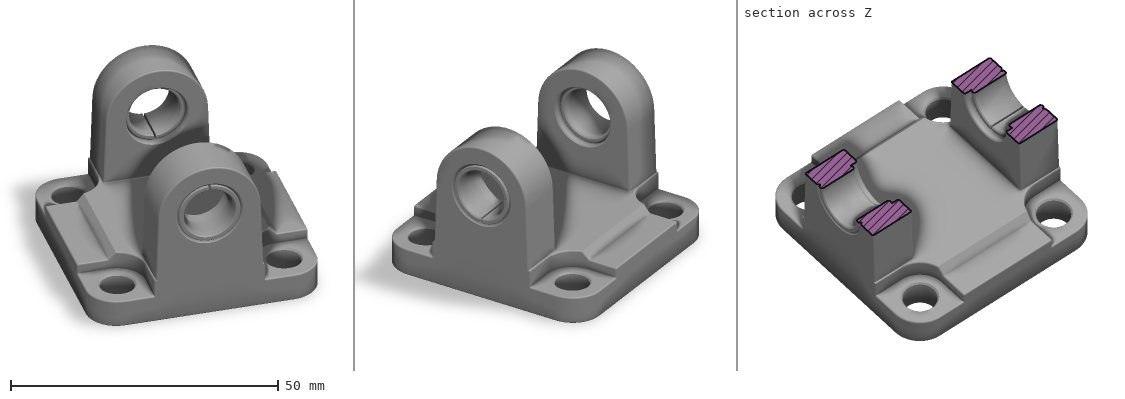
import cadquery as cq
import math

SIDE = 45.0
PLATE_TOP = 9.0
CORNER_RADIUS = 6.0
EDGE_ROUND = 0.3

LAND_TOP = 7.5
SLOPE_START = 15.0

POCKET_FLOOR = 5.5
POCKET_RADIUS = 5.5
HOLE_OFFSET = 16.25
HOLE_DIAMETER = 6.6
HOLE_CHAMFER = 0.3

LUG_THICKNESS = 9.5
LUG_RADIUS = 10.0
LUG_DRAFT = math.radians(2)
PIVOT_HEIGHT = 22.0
FOOT_FILLET = 0.25

BUSHING_OUTER = 12.0
BUSHING_BORE = 10.0
BUSHING_CHAMFER = 0.15
BORE_CHAMFER = 0.22
INSIDE_RECESS = 1.5
INSIDE_MOUTH_CHAMFER = 0.22
OUTSIDE_MOUTH_CHAMFER = 0.5
SLIT_WIDTH = 0.4

HALF = SIDE / 2
LUG_INNER = HALF - LUG_THICKNESS
POCKET_WALL = HOLE_OFFSET - POCKET_RADIUS
SIGNS = (-1, 1)
CORNERS = [(x_side, y_side) for x_side in SIGNS for y_side in SIGNS]

TOLERANCE = 0.005
SLOPE_RIM_SPREAD = 0.1


def land_cut(y_side):
    """Material above one land, with its sloped inner side."""
    rise = PLATE_TOP - LAND_TOP
    outline = [
        (y_side * SLOPE_START, PLATE_TOP),
        (y_side * (SLOPE_START + rise), LAND_TOP),
        (y_side * SIDE, LAND_TOP),
        (y_side * SIDE, PLATE_TOP),
    ]
    return cq.Workplane("YZ").polyline(outline).close().extrude(HALF, both=True)


def pocket_cut(x_side, y_side):
    """Square corner pocket whose inner corner is rounded about the mounting hole."""
    size = 2 * (HALF - POCKET_WALL)
    return (
        cq.Workplane("XY", origin=(x_side * HALF, y_side * HALF, POCKET_FLOOR))
        .rect(size, size)
        .extrude(PLATE_TOP)
        .edges("|Z")
        .fillet(POCKET_RADIUS)
    )


def mounting_hole(x_side, y_side):
    """Through hole with a chamfered mouth on the pocket floor."""
    radius = HOLE_DIAMETER / 2
    outline = [
        (0, 0),
        (radius, 0),
        (radius, POCKET_FLOOR - HOLE_CHAMFER),
        (radius + HOLE_CHAMFER, POCKET_FLOOR),
        (0, POCKET_FLOOR),
    ]
    hole = cq.Workplane("XZ").polyline(outline).close().revolve(360, (0, 0), (0, 1))
    return hole.translate((x_side * HOLE_OFFSET, y_side * HOLE_OFFSET, 0))


def is_outer_rim(edge):
    """Upper rim of the plate, except where the lugs stand flush with the +X and -X sides."""
    center = edge.Center()
    box = edge.BoundingBox()
    x, y = abs(center.x), abs(center.y)
    above_floor = box.zmin > POCKET_FLOOR - TOLERANCE
    on_floor = above_floor and box.zmax < POCKET_FLOOR + TOLERANCE
    on_y_side = above_floor and y > HALF - TOLERANCE
    on_x_side = on_floor and x > HALF - TOLERANCE
    on_corner = on_floor and min(x, y) > HALF - CORNER_RADIUS
    return on_y_side or on_x_side or on_corner


def is_pocket_rim(edge):
    """Edges where the pocket walls meet the lands, the slopes and the plate top."""
    center = edge.Center()
    x, y = abs(center.x), abs(center.y)
    above_land = edge.BoundingBox().zmin > LAND_TOP - TOLERANCE
    beside_land = abs(x - POCKET_WALL) < SLOPE_RIM_SPREAD and y > SLOPE_START
    beside_lug = abs(y - POCKET_WALL) < TOLERANCE
    around_hole = edge.geomType() == "CIRCLE"
    return above_land and (beside_land or beside_lug or around_hole)


def make_plate():
    """Plate with lands, corner pockets, rounded edges and mounting holes."""
    plate = cq.Workplane("XY").rect(SIDE, SIDE).extrude(PLATE_TOP)
    plate = plate.edges("|Z").fillet(CORNER_RADIUS)
    plate = plate.faces("<Z").edges().fillet(EDGE_ROUND)
    for y_side in SIGNS:
        plate = plate.cut(land_cut(y_side))
    for x_side, y_side in CORNERS:
        plate = plate.cut(pocket_cut(x_side, y_side))
    rims = plate.edges().filter(lambda edge: is_outer_rim(edge) or is_pocket_rim(edge))
    plate = rims.fillet(EDGE_ROUND)
    for x_side, y_side in CORNERS:
        plate = plate.cut(mounting_hole(x_side, y_side))
    return plate


def lug_body():
    """Round-topped lug at the +X side, standing on the plate top."""
    tangent_y = LUG_RADIUS * math.cos(LUG_DRAFT)
    tangent_z = PIVOT_HEIGHT + LUG_RADIUS * math.sin(LUG_DRAFT)
    foot_y = tangent_y + (tangent_z - PLATE_TOP) * math.tan(LUG_DRAFT)
    body = (
        cq.Workplane("YZ", origin=(LUG_INNER, 0, 0))
        .moveTo(-foot_y, PLATE_TOP)
        .lineTo(-tangent_y, tangent_z)
        .threePointArc((0, PIVOT_HEIGHT + LUG_RADIUS), (tangent_y, tangent_z))
        .lineTo(foot_y, PLATE_TOP)
        .close()
        .extrude(LUG_THICKNESS)
    )
    return body.faces("<X or >X").edges("not <Z").fillet(EDGE_ROUND)


def foot_flare(body):
    """Lowest part of the lug with a concave fillet at its foot, kept clear of the pocket rims."""
    slab = (
        cq.Workplane("XY", origin=(0, 0, LAND_TOP))
        .rect(2 * SIDE, 2 * SIDE)
        .extrude(PLATE_TOP - LAND_TOP)
    )
    around_foot = cq.selectors.BoxSelector(
        (LUG_INNER - EDGE_ROUND, -HALF, PLATE_TOP - TOLERANCE),
        (HALF + EDGE_ROUND, HALF, PLATE_TOP + TOLERANCE),
    )
    flared = slab.union(body).edges(around_foot).fillet(FOOT_FILLET)
    plate_top = cq.Workplane("XY", origin=(0, 0, PLATE_TOP))
    between_holes = plate_top.rect(2 * HOLE_OFFSET, SIDE).extrude(2 * FOOT_FILLET)
    pocket_rims = (
        plate_top.pushPoints([(HOLE_OFFSET, y_side * HOLE_OFFSET) for y_side in SIGNS])
        .circle(POCKET_RADIUS + EDGE_ROUND)
        .extrude(2 * FOOT_FILLET)
    )
    return flared.intersect(between_holes).cut(pocket_rims)


def turned_about_pivot(profile):
    """Solid turned about the pivot axis from (place along X, radius) points."""
    turned = cq.Workplane("XZ").polyline(profile).close().revolve(360, (0, 0), (1, 0))
    return turned.translate((0, 0, PIVOT_HEIGHT))


def lug_bore():
    """Bushing seat through the +X lug, chamfered at both mouths."""
    radius = BUSHING_OUTER / 2
    return turned_about_pivot([
        (LUG_INNER, 0),
        (LUG_INNER, radius + INSIDE_MOUTH_CHAMFER),
        (LUG_INNER + INSIDE_MOUTH_CHAMFER, radius),
        (HALF - OUTSIDE_MOUTH_CHAMFER, radius),
        (HALF, radius + OUTSIDE_MOUTH_CHAMFER),
        (HALF, 0),
    ])


def bushing():
    """Bushing of the +X lug, flush outside, recessed inside and slit along its top."""
    inner_end = LUG_INNER + INSIDE_RECESS
    bore = BUSHING_BORE / 2
    outer = BUSHING_OUTER / 2
    sleeve = turned_about_pivot([
        (inner_end + BUSHING_CHAMFER, outer),
        (inner_end, outer - BUSHING_CHAMFER),
        (inner_end, bore + BORE_CHAMFER),
        (inner_end + BORE_CHAMFER, bore),
        (HALF - BORE_CHAMFER, bore),
        (HALF, bore + BORE_CHAMFER),
        (HALF, outer - BUSHING_CHAMFER),
        (HALF - BUSHING_CHAMFER, outer),
    ])
    slit = (
        cq.Workplane("XY", origin=(0, 0, PIVOT_HEIGHT))
        .rect(2 * SIDE, SLIT_WIDTH)
        .extrude(BUSHING_OUTER)
    )
    return sleeve.cut(slit)


def make_lug():
    """The +X lug with its foot fillet and bushing."""
    body = lug_body()
    return body.union(foot_flare(body)).cut(lug_bore())


plus_lug = make_lug()
plus_bushing = bushing()

minus_lug = plus_lug.mirror("YZ")
minus_bushing = plus_bushing.rotate((0, 0, PIVOT_HEIGHT), (0, 1, PIVOT_HEIGHT), 180)

result = make_plate()
for piece in (plus_lug, minus_lug, plus_bushing, minus_bushing):
    result = result.union(piece)